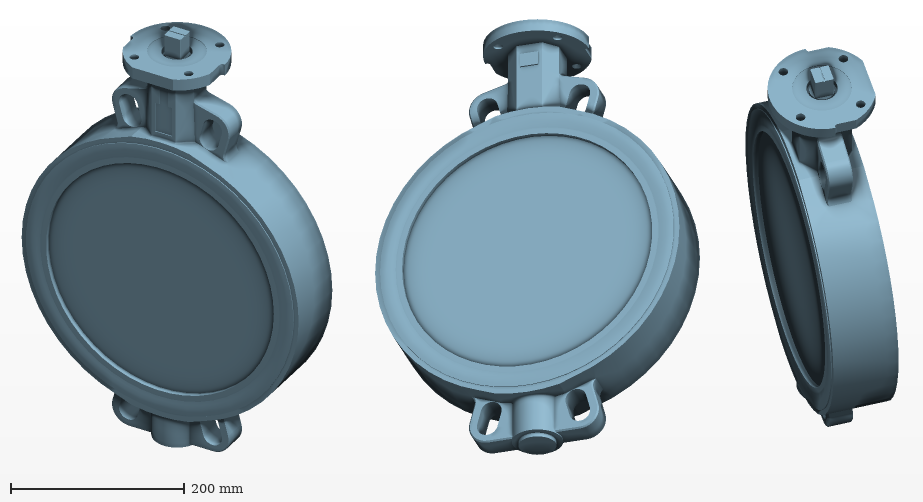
import cadquery as cq
import math

STEM_TOP = 314.5
FLANGE_TOP = 290.0
FLANGE_THICK = 15.0
NECK_TAPER_TOP = 239.5
BOSS_BOTTOM = -232.0
CAP_BOTTOM = -237.0
BURY = 165.5

RING_R = 184.5
RING_HALF = 39.0
SEAT_R = 178.0
SEAT_HALF = 41.0
BEAD_INNER_R = 164.5
BEAD_RISE = 0.5
LIP_R = 159.5
LIP_DROP = 1.0
BORE_R = 151.5
DISC_RECESS = 6.5

PAD_R = 186.7
PAD_HALF_X = 38.5
PAD_TANGENT_X = 59.0

NECK_HALF_X = 31.0
NECK_HALF_Y = 31.5
NECK_FLAT_HALF_X = 15.7
NECK_FLAT_HALF_Y = 15.0
NECK_BASE_HALF_X = 33.5

KEY_HALF = 11.3
KEY_BOTTOM = 194.0
KEY_SHOULDER = 233.0
KEY_STEM_HALF = 6.0
KEY_TOP = 255.0
KEY_TIP_CHAMFER = 1.5
KEY_DEPTH = 1.0

PLATE_WIDTH = 22.0
PLATE_HEIGHT = 16.5
PLATE_Z = 255.0
PLATE_THICK = 2.0

FLANGE_R = 63.0
FLANGE_FRONT = 57.0
FLANGE_SIDE = 58.0
FLANGE_STEP_Y = 1.5
FLANGE_STEP_R = 3.5
BOLT_OFFSET = 36.1
BOLT_D = 11.0
SPIGOT_D = 69.0
SPIGOT_DEPTH = 0.5
STEM_BORE_D = 36.5
STEM_BORE_DEPTH = 8.0

STEM_HALF = 11.0
STEM_D = 30.0
STEM_ROUND_TOP = 287.0
MARK_WIDTH = 1.5
MARK_DEPTH = 1.0

ROOT_FILLET = 1.5
ROOT_ZONE = 5.5

BOSS_R = 30.0
CAP_D = 44.0

LUG_ANGLE = math.radians(15)
LUG_R = 23.0
LUG_HALF_Y = 15.15
LUG_EDGE = 1.5
LUG_END = 215.0
SLOT_R = 12.5
SLOT_INNER = 198.5
SLOT_OUTER = 216.0
LUG_ROOT_R = 11.0
LUG_ROOT_SINK = 0.5
NECK_ROOT_R = 5.5


def ring_profile_side(sign):
    """Radius and Y points of the seat and lip on one face of the ring."""
    return {
        "rim": (RING_R, sign * RING_HALF),
        "seat_foot": (SEAT_R, sign * RING_HALF),
        "seat_edge": (SEAT_R, sign * (SEAT_HALF - BEAD_RISE)),
        "bead_top": ((SEAT_R + BEAD_INNER_R) / 2, sign * SEAT_HALF),
        "bead_end": (BEAD_INNER_R, sign * (SEAT_HALF - BEAD_RISE)),
        "lip": (LIP_R, sign * (SEAT_HALF - LIP_DROP)),
        "bore": (BORE_R, sign * (SEAT_HALF - LIP_DROP)),
        "disc": (BORE_R, sign * (SEAT_HALF - LIP_DROP - DISC_RECESS)),
        "axis": (0, sign * (SEAT_HALF - LIP_DROP - DISC_RECESS)),
    }


def make_ring():
    """Ring, seat and closed disc turned about the Y axis."""
    front = ring_profile_side(-1)
    back = ring_profile_side(1)
    return (
        cq.Workplane("XY")
        .moveTo(*front["axis"])
        .lineTo(*front["disc"])
        .lineTo(*front["bore"])
        .lineTo(*front["lip"])
        .lineTo(*front["bead_end"])
        .threePointArc(front["bead_top"], front["seat_edge"])
        .lineTo(*front["seat_foot"])
        .lineTo(*front["rim"])
        .lineTo(*back["rim"])
        .lineTo(*back["seat_foot"])
        .lineTo(*back["seat_edge"])
        .threePointArc(back["bead_top"], back["bead_end"])
        .lineTo(*back["lip"])
        .lineTo(*back["bore"])
        .lineTo(*back["disc"])
        .lineTo(*back["axis"])
        .close()
        .revolve(360, (0, 0, 0), (0, 1, 0))
    )


def make_pad(side):
    """Raised pad on the rim, above (side 1) or below (side -1) the disc."""
    pad_z = side * math.sqrt(PAD_R**2 - PAD_HALF_X**2)
    tangent_z = side * math.sqrt(RING_R**2 - PAD_TANGENT_X**2)
    return (
        cq.Workplane("XZ")
        .moveTo(-PAD_TANGENT_X, side * BURY)
        .lineTo(-PAD_TANGENT_X, tangent_z)
        .lineTo(-PAD_HALF_X, pad_z)
        .threePointArc((0, side * PAD_R), (PAD_HALF_X, pad_z))
        .lineTo(PAD_TANGENT_X, tangent_z)
        .lineTo(PAD_TANGENT_X, side * BURY)
        .close()
        .extrude(RING_HALF, both=True)
    )


def octagon(half_x):
    """Corner points of the neck section for a given half width in X."""
    quarter = [(half_x, NECK_FLAT_HALF_Y), (NECK_FLAT_HALF_X, NECK_HALF_Y)]
    right = [(x, -y) for x, y in reversed(quarter)] + quarter
    left = [(-x, -y) for x, y in right]
    return right + left


def make_neck():
    """Octagonal neck, straight at the top and widening in X toward the ring."""
    flange_bottom = FLANGE_TOP - FLANGE_THICK
    straight = (
        cq.Workplane("XY", origin=(0, 0, NECK_TAPER_TOP))
        .polyline(octagon(NECK_HALF_X))
        .close()
        .extrude(flange_bottom - NECK_TAPER_TOP)
    )
    tapered = (
        cq.Workplane("XY", origin=(0, 0, BURY))
        .polyline(octagon(NECK_BASE_HALF_X))
        .close()
        .workplane(offset=NECK_TAPER_TOP - BURY)
        .polyline(octagon(NECK_HALF_X))
        .close()
        .loft(ruled=True)
    )
    plate = cq.Workplane("XY").box(
        PLATE_WIDTH, PLATE_THICK, PLATE_HEIGHT, centered=(True, False, True)
    ).translate((0, NECK_HALF_Y, PLATE_Z))
    return straight.union(tapered).union(plate)


def key_recess():
    """Shallow key-shaped pocket in the front flat of the neck."""
    tip_half = KEY_STEM_HALF - KEY_TIP_CHAMFER
    tip_side_z = KEY_TOP - KEY_TIP_CHAMFER
    right = [
        (KEY_HALF, KEY_BOTTOM),
        (KEY_HALF, KEY_SHOULDER),
        (KEY_STEM_HALF, KEY_SHOULDER),
        (KEY_STEM_HALF, tip_side_z),
        (tip_half, KEY_TOP),
    ]
    left = [(-x, z) for x, z in reversed(right)]
    return (
        cq.Workplane("XZ", origin=(0, -NECK_HALF_Y, 0))
        .polyline(right + left)
        .close()
        .extrude(-KEY_DEPTH)
    )


def make_flange():
    """Round flange with a front flat, stepped sides and bolt holes."""
    flange_bottom = FLANGE_TOP - FLANGE_THICK
    disc = cq.Workplane("XY", origin=(0, 0, flange_bottom)).circle(FLANGE_R).extrude(FLANGE_THICK)
    outline = (
        cq.Workplane("XY", origin=(0, 0, flange_bottom))
        .moveTo(-FLANGE_R, FLANGE_R)
        .lineTo(-FLANGE_R, FLANGE_STEP_Y)
        .lineTo(-FLANGE_SIDE - FLANGE_STEP_R, FLANGE_STEP_Y)
        .radiusArc((-FLANGE_SIDE, FLANGE_STEP_Y - FLANGE_STEP_R), FLANGE_STEP_R)
        .lineTo(-FLANGE_SIDE, -FLANGE_FRONT)
        .lineTo(FLANGE_SIDE, -FLANGE_FRONT)
        .lineTo(FLANGE_SIDE, FLANGE_STEP_Y - FLANGE_STEP_R)
        .radiusArc((FLANGE_SIDE + FLANGE_STEP_R, FLANGE_STEP_Y), FLANGE_STEP_R)
        .lineTo(FLANGE_R, FLANGE_STEP_Y)
        .lineTo(FLANGE_R, FLANGE_R)
        .close()
        .extrude(FLANGE_THICK)
    )
    return (
        disc.intersect(outline)
        .faces(">Z")
        .workplane(origin=(0, 0, FLANGE_TOP))
        .rect(2 * BOLT_OFFSET, 2 * BOLT_OFFSET, forConstruction=True)
        .vertices()
        .hole(BOLT_D)
    )


def stem_recess():
    """Shallow spigot recess and the deeper bore around the stem."""
    top = cq.Workplane("XY", origin=(0, 0, FLANGE_TOP))
    spigot = top.circle(SPIGOT_D / 2).extrude(-SPIGOT_DEPTH)
    bore = top.circle(STEM_BORE_D / 2).extrude(-STEM_BORE_DEPTH)
    return spigot.union(bore)


def make_stem():
    """Stem, round inside the bore and square above it, with a grooved end."""
    base = FLANGE_TOP - FLANGE_THICK
    start = cq.Workplane("XY", origin=(0, 0, base))
    square_start = cq.Workplane("XY", origin=(0, 0, STEM_ROUND_TOP))
    round_part = start.circle(STEM_D / 2).extrude(STEM_ROUND_TOP - base)
    square_part = (
        square_start.rect(2 * STEM_HALF, 2 * STEM_HALF)
        .extrude(STEM_TOP - STEM_ROUND_TOP)
        .intersect(square_start.circle(STEM_D / 2).extrude(STEM_TOP - STEM_ROUND_TOP))
    )
    mark = (
        cq.Workplane("XY", origin=(0, 0, STEM_TOP))
        .rect(STEM_D, MARK_WIDTH)
        .extrude(-MARK_DEPTH)
    )
    return round_part.union(square_part).cut(mark)


def make_boss():
    """Round boss under the ring with a smaller end cap."""
    boss = cq.Workplane("XY", origin=(0, 0, -BURY)).circle(BOSS_R).extrude(BOSS_BOTTOM + BURY)
    cap = (
        cq.Workplane("XY", origin=(0, 0, BOSS_BOTTOM))
        .circle(CAP_D / 2)
        .extrude(CAP_BOTTOM - BOSS_BOTTOM)
    )
    return boss.union(cap)


def lug_point(along, across):
    """X and Z of a point along the slot axis and across it, outward positive."""
    sin_a = math.sin(LUG_ANGLE)
    cos_a = math.cos(LUG_ANGLE)
    return (along * sin_a + across * cos_a, along * cos_a - across * sin_a)


def lug_side(sketch):
    """Finish a lug outline from its end arc, down the side and into the ring."""
    root_circle = RING_R - LUG_ROOT_SINK
    root_across = LUG_R + LUG_ROOT_R
    root_along = math.sqrt((root_circle + LUG_ROOT_R) ** 2 - root_across**2)
    to_ring = root_circle / (root_circle + LUG_ROOT_R)
    toward_side = math.pi
    toward_ring = math.pi + math.atan2(root_along, root_across)
    middle = (toward_side + toward_ring) / 2
    root_mid = lug_point(
        root_along + LUG_ROOT_R * math.sin(middle),
        root_across + LUG_ROOT_R * math.cos(middle),
    )
    root_end = lug_point(root_along * to_ring, root_across * to_ring)
    return (
        sketch.lineTo(*lug_point(root_along, LUG_R))
        .threePointArc(root_mid, root_end)
        .lineTo(*lug_point(BURY, LUG_R))
        .lineTo(0, BURY)
        .close()
    )


def finish_lug(outline):
    """Thicken a lug outline, break its edges and cut the radial slot."""
    lug = outline.extrude(LUG_HALF_Y, both=True).faces("|Y").edges().chamfer(LUG_EDGE)
    slot_centre = lug_point((SLOT_INNER + SLOT_OUTER) / 2, 0)
    slot = (
        cq.Workplane("XZ")
        .center(*slot_centre)
        .transformed(rotate=(0, 0, 90 - math.degrees(LUG_ANGLE)))
        .slot2D(SLOT_OUTER - SLOT_INNER + 2 * SLOT_R, 2 * SLOT_R)
        .extrude(LUG_HALF_Y, both=True)
    )
    return lug.cut(slot)


def make_upper_lug():
    """Upper right lug, its top edge square to the slot and blended into the neck."""
    sin_a = math.sin(LUG_ANGLE)
    cos_a = math.cos(LUG_ANGLE)
    blend_x = NECK_HALF_X + NECK_ROOT_R
    blend_z = (LUG_END + LUG_R + NECK_ROOT_R - blend_x * sin_a) / cos_a
    blend_end = (blend_x - NECK_ROOT_R * sin_a, blend_z - NECK_ROOT_R * cos_a)
    half_turn = (math.pi / 2 - LUG_ANGLE) / 2
    blend_mid = (
        blend_x - NECK_ROOT_R * math.cos(half_turn),
        blend_z - NECK_ROOT_R * math.sin(half_turn),
    )
    diagonal = LUG_R / math.sqrt(2)
    arc_mid = lug_point(LUG_END + diagonal, diagonal)
    outline = (
        cq.Workplane("XZ")
        .moveTo(0, BURY)
        .lineTo(0, blend_z)
        .lineTo(NECK_HALF_X, blend_z)
        .threePointArc(blend_mid, blend_end)
        .lineTo(*lug_point(LUG_END + LUG_R, 0))
        .threePointArc(arc_mid, lug_point(LUG_END, LUG_R))
    )
    return finish_lug(lug_side(outline))


def make_lower_lug():
    """Right lug with a flat end edge, built pointing up and flipped to point down."""
    end_x, end_z = lug_point(LUG_END, 0)
    diagonal = LUG_R / math.sqrt(2)
    arc_mid = lug_point(LUG_END + diagonal, diagonal)
    outline = (
        cq.Workplane("XZ")
        .moveTo(0, BURY)
        .lineTo(0, end_z + LUG_R)
        .lineTo(end_x, end_z + LUG_R)
        .threePointArc(arc_mid, lug_point(LUG_END, LUG_R))
    )
    return finish_lug(lug_side(outline)).mirror("XY")


def root_edges(body, side):
    """Edges where the neck (side 1) or the boss (side -1) meets the ring pad."""
    half = NECK_BASE_HALF_X + ROOT_FILLET
    low, high = sorted((side * (RING_R - ROOT_ZONE), side * (PAD_R + ROOT_FILLET)))
    corners = ((-half, -half, low), (half, half, high))
    return body.edges(cq.selectors.BoxSelector(*corners, boundingbox=True))


result = make_ring().union(make_pad(1)).union(make_pad(-1)).union(make_neck()).union(make_boss())
for side in (1, -1):
    result = root_edges(result, side).fillet(ROOT_FILLET)
for lug in (make_upper_lug(), make_lower_lug()):
    result = result.union(lug).union(lug.mirror("YZ"))
result = result.cut(key_recess())
result = result.union(make_flange()).cut(stem_recess()).union(make_stem())